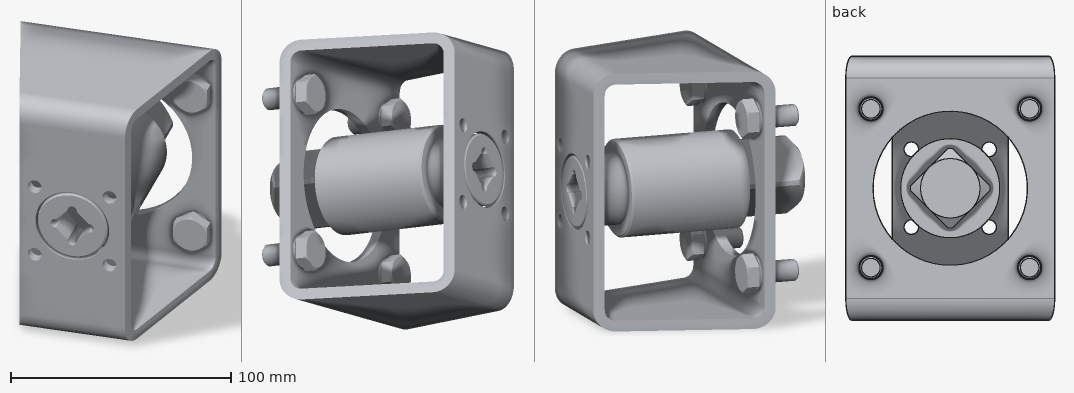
import cadquery as cq
import math


bracket_depth = 80.0
bracket_height = 120.0
base_width = 95.0
flange_width = 50.0
wall = 5.0
outer_corner_radius = 10.0
inner_corner_radius = outer_corner_radius - wall

base_bore_diameter = 70.0
base_bolt_circle = 102.0
base_hole_diameter = 11.0

flange_bore_diameter = 35.0
flange_bolt_circle = 50.0
flange_hole_diameter = 6.5

journal_diameter = 33.0
journal_chamfer = 0.75
body_diameter = 45.0
body_chamfer = 1.0
body_front_y = -60.0
body_rear_y = -3.0
square_length = 27.0
square_across_flats = 27.0
square_corner_diameter = 36.0
square_end_chamfer = (square_corner_diameter - square_across_flats) / 2

socket_across_flats = 14.0
socket_depth = 16.0
socket_relief_circle = 16.0
socket_relief_diameter = 4.4

washer_diameter = 16.0
washer_bore = 10.5
washer_thickness = 1.0
bolt_diameter = 10.0
bolt_length = 20.0
bolt_tip_chamfer = 0.8
head_across_flats = 16.0
head_height = 6.4
head_collar_diameter = 14.63
head_collar_height = 0.6
head_chamfer_angle = 30.0

base_inner_y = -wall
head_seat_y = base_inner_y - washer_thickness


def square_pattern(bolt_circle):
    """Four XZ points on the diagonals of a bolt circle."""
    offset = bolt_circle / 2 / math.sqrt(2)
    return [(x, z) for x in (-offset, offset) for z in (-offset, offset)]


def cylinder_along_y(diameter, start_y, end_y, x=0.0, z=0.0):
    """Cylinder parallel to Y between two Y positions, start_y < end_y."""
    plane = cq.Plane(origin=(x, start_y, z), xDir=(1, 0, 0), normal=(0, 1, 0))
    return cq.Workplane(plane).circle(diameter / 2).extrude(end_y - start_y)


def make_bracket():
    middle_y = -bracket_depth / 2
    tube_plane = cq.Plane(origin=(0, middle_y, 0), xDir=(0, 1, 0), normal=(1, 0, 0))
    outside = (
        cq.Workplane(tube_plane)
        .rect(bracket_depth, bracket_height)
        .extrude(base_width / 2, both=True)
        .edges("|X")
        .fillet(outer_corner_radius)
    )
    inside = (
        cq.Workplane(tube_plane)
        .rect(bracket_depth - 2 * wall, bracket_height - 2 * wall)
        .extrude(base_width / 2, both=True)
        .edges("|X")
        .fillet(inner_corner_radius)
    )
    taper = (
        cq.Workplane("XY")
        .polyline([
            (-base_width / 2, 0),
            (base_width / 2, 0),
            (flange_width / 2, -bracket_depth),
            (-flange_width / 2, -bracket_depth),
        ])
        .close()
        .extrude(bracket_height / 2, both=True)
    )
    bracket = outside.cut(inside).intersect(taper)

    flange_inner_y = -bracket_depth + wall
    bracket = bracket.cut(cylinder_along_y(base_bore_diameter, base_inner_y, 0))
    bracket = bracket.cut(cylinder_along_y(flange_bore_diameter, -bracket_depth, flange_inner_y))
    for x, z in square_pattern(base_bolt_circle):
        bracket = bracket.cut(cylinder_along_y(base_hole_diameter, base_inner_y, 0, x, z))
    for x, z in square_pattern(flange_bolt_circle):
        bracket = bracket.cut(
            cylinder_along_y(flange_hole_diameter, -bracket_depth, flange_inner_y, x, z)
        )
    return bracket


def diagonal_square_prism(across_flats, start_y, end_y):
    """Square prism along Y, standing on its corner."""
    plane = cq.Plane(origin=(0, start_y, 0), xDir=(1, 0, 0), normal=(0, 1, 0))
    return (
        cq.Workplane(plane)
        .transformed(rotate=(0, 0, 45))
        .rect(across_flats, across_flats)
        .extrude(end_y - start_y)
    )


def make_socket_cutter():
    floor_y = -bracket_depth + socket_depth
    cutter = diagonal_square_prism(socket_across_flats, -bracket_depth, floor_y)
    relief_offset = socket_relief_circle / 2
    for x, z in [(relief_offset, 0), (0, relief_offset), (-relief_offset, 0), (0, -relief_offset)]:
        cutter = cutter.union(
            cylinder_along_y(socket_relief_diameter, -bracket_depth, floor_y, x, z)
        )
    return cutter


def make_shaft():
    journal = (
        cylinder_along_y(journal_diameter, -bracket_depth, body_front_y)
        .faces("<Y")
        .chamfer(journal_chamfer)
    )
    body = (
        cylinder_along_y(body_diameter, body_front_y, body_rear_y)
        .faces("<Y")
        .chamfer(body_chamfer)
    )
    corner_envelope = (
        cylinder_along_y(square_corner_diameter, body_rear_y, square_length)
        .faces(">Y")
        .chamfer(square_end_chamfer)
    )
    square = diagonal_square_prism(square_across_flats, body_rear_y, square_length)
    shaft = journal.union(body).union(square.intersect(corner_envelope))
    return shaft.cut(make_socket_cutter())


def make_washer(x, z):
    ring = cylinder_along_y(washer_diameter, head_seat_y, base_inner_y, x, z)
    return ring.cut(cylinder_along_y(washer_bore, head_seat_y, base_inner_y, x, z))


def make_bolt(x, z):
    head_end_y = head_seat_y - head_height
    hexagon_seat_y = head_seat_y - head_collar_height
    across_corners = head_across_flats / math.cos(math.radians(30))

    hexagon_plane = cq.Plane(origin=(x, head_end_y, z), xDir=(0, 0, -1), normal=(0, 1, 0))
    hexagon = (
        cq.Workplane(hexagon_plane)
        .polygon(6, across_corners)
        .extrude(hexagon_seat_y - head_end_y)
    )
    chamfer_radial = (across_corners - head_across_flats) / 2
    chamfer_axial = chamfer_radial * math.tan(math.radians(head_chamfer_angle))
    head_envelope = (
        cylinder_along_y(across_corners, head_end_y, hexagon_seat_y, x, z)
        .faces("<Y")
        .chamfer(chamfer_axial, chamfer_radial)
    )
    collar = cylinder_along_y(head_collar_diameter, hexagon_seat_y, head_seat_y, x, z)
    shank = (
        cylinder_along_y(bolt_diameter, head_seat_y, head_seat_y + bolt_length, x, z)
        .faces(">Y")
        .chamfer(bolt_tip_chamfer)
    )
    return hexagon.intersect(head_envelope).union(collar).union(shank)


bracket = make_bracket()
shaft = make_shaft()
bolt_positions = square_pattern(base_bolt_circle)
washers = [make_washer(x, z) for x, z in bolt_positions]
bolts = [make_bolt(x, z) for x, z in bolt_positions]

result = cq.Compound.makeCompound([
    bracket.val(),
    shaft.val(),
    *[washer.val() for washer in washers],
    *[bolt.val() for bolt in bolts],
])